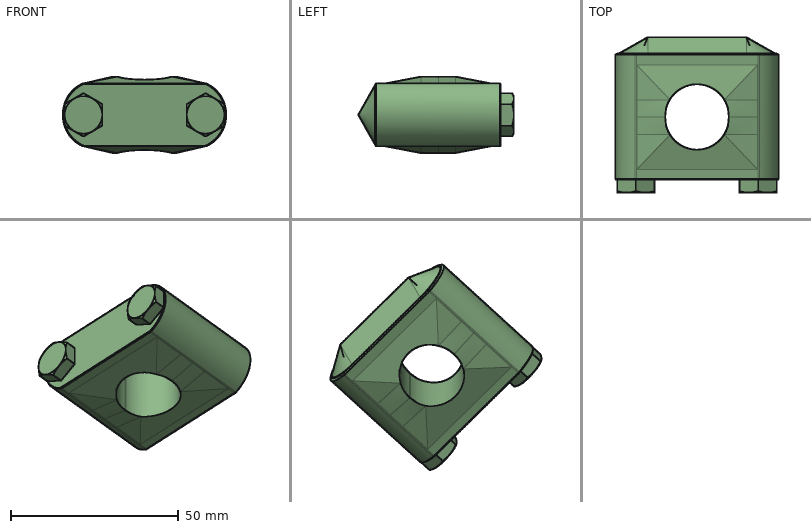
import cadquery as cq
import math

body_width = 48.95
body_height = 18.9
flat_width = 36.3
front_end = 18.7
back_end = 18.55
bevel_width = 0.4
bevel_drop = 0.1
edge_chamfer = 0.25

collar_length = 0.45
collar_inset = 0.75

nose_length = 5.35
ridge_half_width = 14.7

total_height = 22.85
pad_width = 36.0
pad_length = 31.15

jaw_radius = 9.5
jaw_gap = 0.5
crest_half_length = 5.2

bolt_spacing = 36.5
head_across_flats = 11.2
head_height = 3.9
head_chamfer_angle = 30.0

half_width = body_width / 2
half_height = body_height / 2
half_flat = flat_width / 2
nose_radius = half_height
pad_height = total_height / 2 - half_height
crest_half_width = math.sqrt(jaw_radius**2 - (crest_half_length - jaw_gap / 2) ** 2)
crest_reach = jaw_radius


def sketch_outline(end_y):
    """Outline of the body across Y: flat top and bottom, narrow bevels, bulged sides."""
    return (
        cq.Workplane("XZ", origin=(0, end_y, 0))
        .moveTo(-half_flat, half_height)
        .lineTo(half_flat, half_height)
        .lineTo(half_flat + bevel_width, half_height - bevel_drop)
        .threePointArc((half_width, 0), (half_flat + bevel_width, bevel_drop - half_height))
        .lineTo(half_flat, -half_height)
        .lineTo(-half_flat, -half_height)
        .lineTo(-half_flat - bevel_width, bevel_drop - half_height)
        .threePointArc((-half_width, 0), (-half_flat - bevel_width, half_height - bevel_drop))
        .close()
    )


def make_body():
    """Block along Y, lightly chamfered at -Y and tapering in a short collar at +Y."""
    block = (
        sketch_outline(back_end)
        .extrude(back_end + front_end)
        .faces("<Y")
        .chamfer(edge_chamfer)
    )
    collar_taper = math.degrees(math.atan2(collar_inset, collar_length))
    collar = sketch_outline(back_end).extrude(-collar_length, taper=collar_taper)
    return block.union(collar)


def make_nose():
    """Roof with a ridge along X, closed at both ends by half cones."""
    roof = (
        cq.Workplane("YZ", origin=(-ridge_half_width, 0, 0))
        .polyline([
            (back_end, -nose_radius),
            (back_end + nose_length, 0),
            (back_end, nose_radius),
        ])
        .close()
        .extrude(2 * ridge_half_width)
    )
    for x in (-ridge_half_width, ridge_half_width):
        cone = cq.Solid.makeCone(
            nose_radius, 0, nose_length, pnt=cq.Vector(x, back_end, 0), dir=cq.Vector(0, 1, 0)
        )
        roof = roof.union(cq.Workplane(cone))
    return roof


def make_pad():
    """Four-sided pad whose X slopes swell outward to follow the rim of the hole."""
    pyramid = (
        cq.Workplane("XY", origin=(0, 0, half_height))
        .rect(pad_width, pad_length)
        .workplane(offset=pad_height)
        .rect(2 * crest_half_width, 2 * crest_half_length)
        .loft(ruled=True)
    )
    mid_length = crest_half_length / 2
    rim_x = math.sqrt(jaw_radius**2 - (mid_length - jaw_gap / 2) ** 2)
    foot_x = pad_width / 2
    swell = (
        cq.Workplane("XY", origin=(0, 0, half_height))
        .polyline([
            (-foot_x, -crest_half_length),
            (foot_x, -crest_half_length),
            (foot_x, 0),
            (foot_x, crest_half_length),
            (-foot_x, crest_half_length),
            (-foot_x, 0),
        ])
        .close()
        .workplane(offset=pad_height)
        .moveTo(-crest_half_width, -crest_half_length)
        .lineTo(crest_half_width, -crest_half_length)
        .threePointArc((rim_x, -mid_length), (crest_reach, 0))
        .threePointArc((rim_x, mid_length), (crest_half_width, crest_half_length))
        .lineTo(-crest_half_width, crest_half_length)
        .threePointArc((-rim_x, mid_length), (-crest_reach, 0))
        .threePointArc((-rim_x, -mid_length), (-crest_half_width, -crest_half_length))
        .close()
        .loft(ruled=True)
    )
    return pyramid.union(swell)


def make_hole():
    """Two half circles joined by short straight sides, right through along Z."""
    return (
        cq.Workplane("XY", origin=(0, 0, -total_height))
        .slot2D(2 * jaw_radius + jaw_gap, 2 * jaw_radius, 90)
        .extrude(2 * total_height)
    )


def make_bolt_head(x):
    """Hexagon head with a conical chamfer on its outer corners."""
    corner_radius = head_across_flats / math.sqrt(3)
    face_radius = head_across_flats / 2
    chamfer_height = (corner_radius - face_radius) * math.tan(math.radians(head_chamfer_angle))
    hexagon = (
        cq.Workplane("XZ", origin=(x, -front_end, 0))
        .transformed(rotate=(0, 0, 90))
        .polygon(6, 2 * corner_radius)
        .extrude(head_height)
    )
    envelope = (
        cq.Workplane("XZ", origin=(x, -front_end, 0))
        .circle(corner_radius)
        .extrude(head_height)
        .faces("<Y")
        .chamfer(chamfer_height, corner_radius - face_radius)
    )
    return hexagon.intersect(envelope)


top_pad = make_pad()
result = make_body().union(make_nose()).union(top_pad).union(top_pad.mirror("XY")).cut(make_hole())
for bolt_x in (-bolt_spacing / 2, bolt_spacing / 2):
    result = result.union(make_bolt_head(bolt_x))